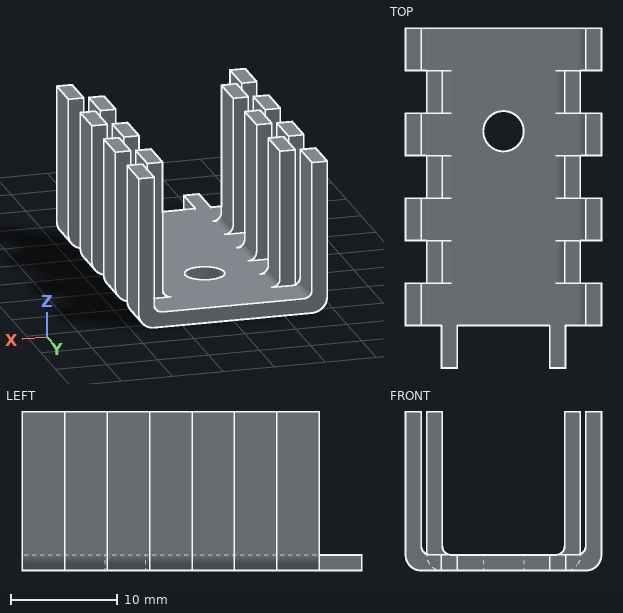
import cadquery as cq


total_length = 32.05
outer_width = 18.5
height = 15.0
sheet_thickness = 1.5
inner_bend_radius = 0.8
outer_bend_radius = 1.5
fin_count = 7
fin_inset = 2.0
pin_spacing = 10.23
hole_diameter = 3.78
hole_setback = 9.7

fin_pitch = total_length / (fin_count + 1)
pin_length = fin_pitch
back_edge = total_length / 2
body_front = back_edge - fin_count * fin_pitch
inner_width = outer_width - 2 * fin_inset


def channel_segment(width, y_front):
    """One U-shaped slice of the sheet: base, two bends and two upright fins."""
    inside_width = width - 2 * sheet_thickness
    outside = (
        cq.Workplane("XY")
        .box(width, fin_pitch, height, centered=(True, False, False))
        .edges("|Y and <Z")
        .fillet(outer_bend_radius)
    )
    inside = (
        cq.Workplane("XY")
        .box(inside_width, fin_pitch, height - sheet_thickness, centered=(True, False, False))
        .edges("|Y and <Z")
        .fillet(inner_bend_radius)
        .translate((0, 0, sheet_thickness))
    )
    return outside.cut(inside).translate((0, y_front, 0))


def solder_pin(x_center):
    """Square pin continuing the base sheet forward."""
    return (
        cq.Workplane("XY")
        .box(sheet_thickness, pin_length, sheet_thickness, centered=(True, False, False))
        .translate((x_center, body_front - pin_length, 0))
    )


result = channel_segment(outer_width, body_front)
for index in range(1, fin_count):
    segment_width = outer_width if index % 2 == 0 else inner_width
    result = result.union(channel_segment(segment_width, body_front + index * fin_pitch))

for side in (-1, 1):
    result = result.union(solder_pin(side * pin_spacing / 2))

mounting_hole = (
    cq.Workplane("XY")
    .center(0, back_edge - hole_setback)
    .circle(hole_diameter / 2)
    .extrude(sheet_thickness)
)
result = result.cut(mounting_hole)